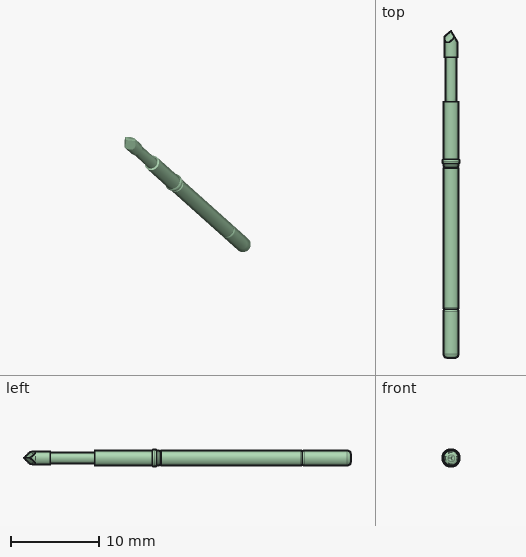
import cadquery as cq
import math

length = 37.0
tip_y = length / 2
tail_y = -length / 2

head_radius = 1.5 / 2
head_length = 3.0
neck_radius = 1.3 / 2
neck_length = 5.0
facet_count = 3
facet_half_angle = 30.0

barrel_radius = 1.75 / 2
tail_fillet = 0.48
collar_radius = 2.0 / 2
bead_radius = 0.35
collar_from_tip = 14.75
groove_depth = 0.15
collar_crease_from_tip = 15.43
collar_shoulder_width = 0.25
collar_flank_width = 0.1
rear_crease_from_tip = 31.5
rear_shoulder_width = 0.22


def cylinder(radius, start_y, end_y):
    """Solid cylinder on the Y axis, from start_y toward -Y down to end_y."""
    plane = cq.Workplane("XZ", origin=(0, start_y, 0))
    return plane.circle(radius).extrude(start_y - end_y)


def shoulder_cutter(crease_y, width):
    """Ring cutter with a convex shoulder, rising from the crease to the barrel surface.

    The shoulder arc is tangent to the barrel. It rises toward +Y for a positive
    width and toward -Y for a negative one.
    """
    arc_radius = (width**2 + groove_depth**2) / (2 * groove_depth)
    half_sweep = math.asin(abs(width) / arc_radius) / 2
    arc_run = math.copysign(arc_radius * math.sin(half_sweep), width)
    arc_drop = arc_radius * (1 - math.cos(half_sweep))
    rim_y = crease_y + width
    return (
        cq.Workplane("XY")
        .moveTo(barrel_radius, rim_y)
        .threePointArc(
            (barrel_radius - arc_drop, rim_y - arc_run),
            (barrel_radius - groove_depth, crease_y),
        )
        .lineTo(barrel_radius, crease_y)
        .close()
        .revolve(360, (0, 0, 0), (0, 1, 0))
    )


def flank_cutter(crease_y, width):
    """Ring cutter with a straight conical flank, rising toward -Y from the crease."""
    return (
        cq.Workplane("XY")
        .polyline(
            [
                (barrel_radius - groove_depth, crease_y),
                (barrel_radius, crease_y),
                (barrel_radius, crease_y - width),
            ]
        )
        .close()
        .revolve(360, (0, 0, 0), (0, 1, 0))
    )


def facet_cutter():
    """Wedge that removes everything on the +X side of the +X facet."""
    facet_reach = head_length * math.tan(math.radians(facet_half_angle))
    return (
        cq.Workplane("XY")
        .polyline([(0, tip_y), (facet_reach, tip_y - head_length), (facet_reach, tip_y)])
        .close()
        .extrude(collar_radius, both=True)
    )


neck_start = tip_y - head_length
barrel_start = neck_start - neck_length
head = cylinder(head_radius, tip_y, neck_start)
for i in range(facet_count):
    head = head.cut(facet_cutter().rotate((0, 0, 0), (0, 1, 0), i * 360 / facet_count))
neck = cylinder(neck_radius, neck_start, barrel_start)

barrel = cylinder(barrel_radius, barrel_start, tail_y).faces("<Y").edges().fillet(tail_fillet)

collar_crease_y = tip_y - collar_crease_from_tip
barrel = barrel.cut(shoulder_cutter(collar_crease_y, collar_shoulder_width))
barrel = barrel.cut(flank_cutter(collar_crease_y, collar_flank_width))

rear_crease_y = tip_y - rear_crease_from_tip
for shoulder_width in (rear_shoulder_width, -rear_shoulder_width):
    barrel = barrel.cut(shoulder_cutter(rear_crease_y, shoulder_width))

collar_y = tip_y - collar_from_tip
bead_center_radius = collar_radius - bead_radius
collar = cq.Workplane("XY").add(
    cq.Solid.makeTorus(bead_center_radius, bead_radius, cq.Vector(0, collar_y, 0), cq.Vector(0, 1, 0))
)

result = head.union(neck).union(barrel).union(collar)